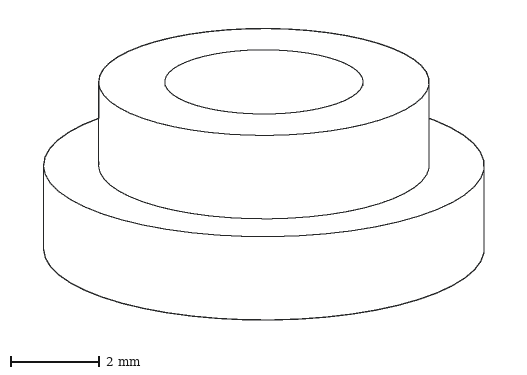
import cadquery as cq

flange_diameter = 10
sleeve_diameter = 7.5
bore_diameter = 4.5
total_height = 4
flange_height = total_height / 2
sleeve_height = total_height - flange_height

flange = cq.Workplane("XY").circle(flange_diameter / 2).extrude(flange_height)

bushing = flange.faces(">Z").workplane().circle(sleeve_diameter / 2).extrude(sleeve_height)

result = bushing.faces(">Z").workplane().hole(bore_diameter)